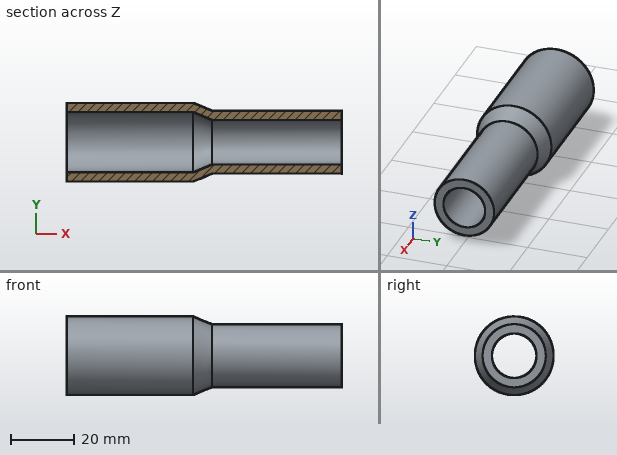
import cadquery as cq

wide_outer_diameter = 25.0
wide_bore_diameter = 19.0
narrow_outer_diameter = 20.0
narrow_bore_diameter = 14.0

total_length = 87.0
wide_length = 40.0
taper_length = 6.0

taper_start = wide_length
taper_end = wide_length + taper_length


def stepped_solid(wide_diameter, narrow_diameter):
    """Solid of revolution about X: wide cylinder, cone, narrow cylinder."""
    wide_radius = wide_diameter / 2
    narrow_radius = narrow_diameter / 2
    half_profile = (
        cq.Workplane("XY")
        .moveTo(0, 0)
        .lineTo(0, wide_radius)
        .lineTo(taper_start, wide_radius)
        .lineTo(taper_end, narrow_radius)
        .lineTo(total_length, narrow_radius)
        .lineTo(total_length, 0)
        .close()
    )
    return half_profile.revolve(360, (0, 0, 0), (1, 0, 0))


outer_body = stepped_solid(wide_outer_diameter, narrow_outer_diameter)
bore = stepped_solid(wide_bore_diameter, narrow_bore_diameter)

result = outer_body.cut(bore)